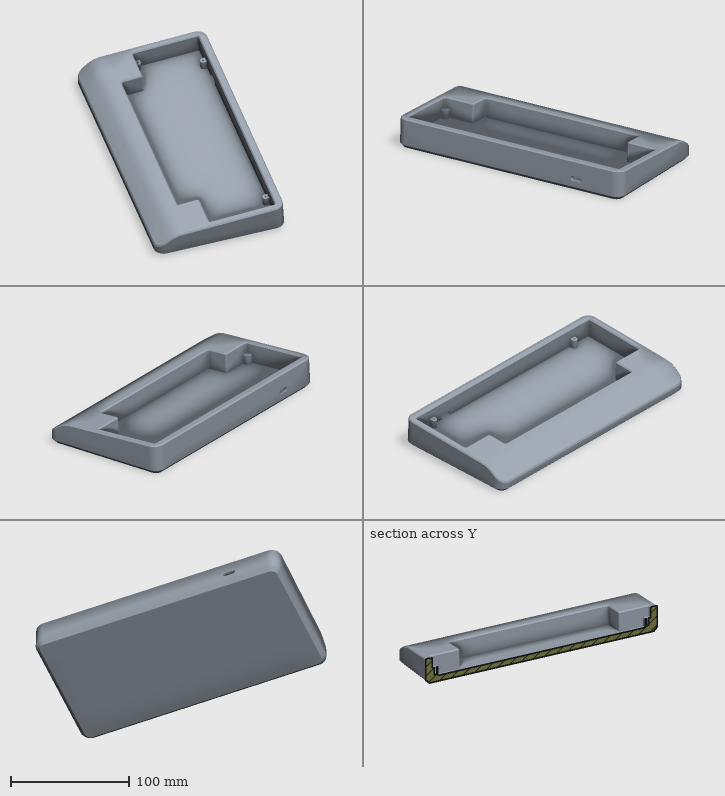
import cadquery as cq
import math

LENGTH = 224.5
DEPTH = 115.9
HEIGHT = 27.0
TILT = 3.0
CORNER_RADIUS = 9.0
BOTTOM_CHAMFER = 3.5
RIM_CHAMFER = 1.0
UPWARD = 0.5

CREASE_Y = -34.8
SLOPE_ANGLE = 36.0
BEND_RADIUS = 22.5

CAVITY_HALF_WIDTH = 105.8
CAVITY_BACK = 49.6
SHOULDER_Y = -9.2
STEP_HALF_WIDTH = 77.0
CAVITY_FRONT = -28.3
CAVITY_DEPTH = 18.0
CAVITY_CORNER_RADIUS = 1.3

POST_RADIUS = 2.7
POST_HEIGHT = 8.0
SCREW_HOLE_DIAMETER = 1.6
SCREW_HOLE_DEPTH = 6.7
BACK_POST_X = 85.8
BACK_POST_Y = 47.0
FRONT_POST_X = 102.8
FRONT_POST_Y = -5.8
WALL_OVERLAP = 1.1

PORT_X = -68.0
PORT_WIDTH = 11.0
PORT_HEIGHT = 4.0
PORT_EXIT = 4.5

tilt = math.radians(TILT)
slope = math.radians(SLOPE_ANGLE)
front_y = -DEPTH / 2
back_y = DEPTH / 2
back_top_z = HEIGHT + RIM_CHAMFER * math.sin(tilt)
back_top_y = back_y - (back_top_z - BOTTOM_CHAMFER) * math.tan(tilt)
deck_normal = cq.Vector(0, -math.sin(tilt), math.cos(tilt))


def deck_z(y):
    """Height of the tilted deck plane at y."""
    return back_top_z - (back_top_y - y) * math.tan(tilt)


def deck_plane(depth):
    """Workplane parallel to the deck, the given depth below it."""
    origin = cq.Vector(0, 0, deck_z(0)) - deck_normal * depth
    return cq.Workplane(cq.Plane(origin, (1, 0, 0), deck_normal))


def bend_point(angle):
    """Point (y, z) where the bend between deck and palm slope falls at the given angle."""
    center_y = CREASE_Y + BEND_RADIUS * math.sin(tilt)
    center_z = deck_z(CREASE_Y) - BEND_RADIUS * math.cos(tilt)
    return (center_y - BEND_RADIUS * math.sin(angle), center_z + BEND_RADIUS * math.cos(angle))


def make_body():
    """Solid wedge: side profile with rounded corners, chamfered bottom and chamfered rim."""
    bend_y, bend_z = bend_point(slope)
    nose_z = bend_z - (bend_y - front_y) * math.tan(slope)
    body = (
        cq.Workplane("YZ")
        .moveTo(front_y, 0)
        .lineTo(front_y, nose_z)
        .lineTo(bend_y, bend_z)
        .threePointArc(bend_point((tilt + slope) / 2), (CREASE_Y, deck_z(CREASE_Y)))
        .lineTo(back_top_y, back_top_z)
        .lineTo(back_y + BOTTOM_CHAMFER * math.tan(tilt), 0)
        .close()
        .extrude(LENGTH / 2, both=True)
    )
    body = body.edges("|Z").fillet(CORNER_RADIUS)
    body = body.edges(cq.selectors.ParallelDirSelector(deck_normal)).fillet(CORNER_RADIUS)
    body = body.faces("<Z").edges().chamfer(BOTTOM_CHAMFER)
    upper_faces = [face for face in body.faces().vals() if face.normalAt().z > UPWARD]
    upper_edges = [edge for face in upper_faces for edge in face.Edges()]
    rim = [edge for edge in upper_edges if sum(edge.isSame(other) for other in upper_edges) == 1]
    return body.newObject(rim).chamfer(RIM_CHAMFER)


def make_cavity():
    """T-shaped recess with rounded corners, flared by a chamfer at the deck."""
    right = [
        (CAVITY_HALF_WIDTH, CAVITY_BACK),
        (CAVITY_HALF_WIDTH, SHOULDER_Y),
        (STEP_HALF_WIDTH, SHOULDER_Y),
        (STEP_HALF_WIDTH, CAVITY_FRONT),
    ]
    left = [(-x, y) for x, y in reversed(right)]
    recess = deck_plane(CAVITY_DEPTH).polyline(right + left).close().extrude(CAVITY_DEPTH)
    recess = recess.edges(cq.selectors.ParallelDirSelector(deck_normal)).fillet(CAVITY_CORNER_RADIUS)
    mouth = deck_plane(0).add(recess.faces(cq.selectors.DirectionMinMaxSelector(deck_normal)).wires())
    flare = mouth.toPending().offset2D(RIM_CHAMFER).extrude(-RIM_CHAMFER, taper=45)
    return recess.union(flare)


def make_post(x, y, blocks):
    """Round post joined to the walls by rectangular blocks, each given by two opposite corners."""
    floor = deck_plane(CAVITY_DEPTH)
    post = floor.center(x, y).circle(POST_RADIUS).extrude(POST_HEIGHT)
    for (x1, y1), (x2, y2) in blocks:
        block = floor.center((x1 + x2) / 2, (y1 + y2) / 2).rect(abs(x2 - x1), abs(y2 - y1))
        post = post.union(block.extrude(POST_HEIGHT))
    top = deck_plane(CAVITY_DEPTH - POST_HEIGHT)
    hole = top.center(x, y).circle(SCREW_HOLE_DIAMETER / 2).extrude(-SCREW_HOLE_DEPTH)
    return post.cut(hole)


def make_posts():
    """Two posts on the back wall and two in the shoulder corners."""
    back_wall = CAVITY_BACK + WALL_OVERLAP
    side_wall = CAVITY_HALF_WIDTH + WALL_OVERLAP
    shoulder = SHOULDER_Y - WALL_OVERLAP
    posts = cq.Workplane()
    for side in (-1, 1):
        x = side * BACK_POST_X
        back_blocks = [((x - POST_RADIUS, BACK_POST_Y), (x + POST_RADIUS, back_wall))]
        posts = posts.add(make_post(x, BACK_POST_Y, back_blocks))
        x = side * FRONT_POST_X
        corner = (side * side_wall, shoulder)
        front_blocks = [
            (corner, (x - side * POST_RADIUS, FRONT_POST_Y)),
            (corner, (x, FRONT_POST_Y + POST_RADIUS)),
        ]
        posts = posts.add(make_post(x, FRONT_POST_Y, front_blocks))
    return posts.vals()


def make_port():
    """Slot through the back wall, its lower side level with the cavity floor."""
    port_center = deck_plane(CAVITY_DEPTH).plane.toWorldCoords((PORT_X, CAVITY_BACK, PORT_HEIGHT / 2))
    through_wall = cq.Vector(0, math.cos(tilt), math.sin(tilt))
    return (
        cq.Workplane(cq.Plane(port_center, (1, 0, 0), through_wall))
        .slot2D(PORT_WIDTH, PORT_HEIGHT)
        .extrude(back_y - CAVITY_BACK + PORT_EXIT)
    )


result = make_body().cut(make_cavity())
for post in make_posts():
    result = result.union(cq.Workplane(post))
result = result.cut(make_port())